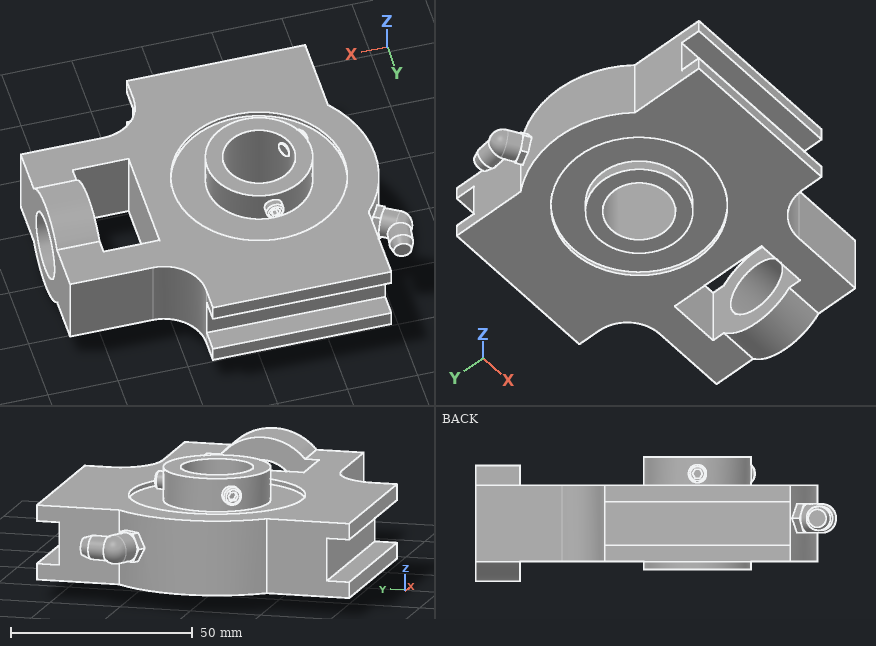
import cadquery as cq
import math


plate_half_x = 25.5
plate_width = 89.0
plate_thickness = 21.0
nose_radius = 33.0
tail_width = 2 * plate_half_x
tail_end_x = 61.0
corner_radius = 11.9
slot_depth = 6.3
slot_height = 12.0
window_start_x = 32.8
boss_start_x = 48.8
boss_diameter = 31.9
boss_hole_diameter = 19.0
window_width = boss_diameter

nipple_angle = 150
nipple_z = 1.4
elbow_diameter = 8.0
elbow_distance = 39.5
hex_across_flats = elbow_diameter
hex_end_distance = 35.1
hex_embed = 0.6
spout_angle = 82.5
spout_diameter = 6.6
spout_tip_diameter = 5
spout_taper_start = 6.8
spout_length = 9.4

insert_diameter = 48.6
insert_recess = 1.5
collar_diameter = 29.6
collar_top_z = 18.35
collar_bottom_z = -12.7
bore_diameter = 20.0

screw_diameter = 5
screw_angles = (90, 210)
screw_z = 13.7
screw_start_distance = 9.7
screw_end_distance = 17.2
screw_chamfer = 0.5
socket_across_flats = 2.4
socket_depth = 2


def radial_plane(angle, distance, z):
    """Plane whose normal points outward from the bearing axis, with its local Y along Z."""
    a = math.radians(angle)
    outward = (math.cos(a), math.sin(a), 0)
    sideways = (-math.sin(a), math.cos(a), 0)
    origin = (distance * outward[0], distance * outward[1], z)
    return cq.Plane(origin=origin, xDir=sideways, normal=outward)


def hexagon(plane, across_flats, length):
    """Hexagonal prism with two flats parallel to the XY plane."""
    across_corners = across_flats / math.cos(math.radians(30))
    return cq.Workplane(plane).polygon(6, across_corners).extrude(length)


def make_plate():
    """T-shaped plate with a rounded nose and rounded inner corners."""
    bar = cq.Workplane().box(2 * plate_half_x, plate_width, plate_thickness)
    tail = cq.Workplane().box(tail_end_x, tail_width, plate_thickness, centered=(False, True, True))
    plate = bar.union(tail)
    margin = 1
    inner_corners = cq.selectors.BoxSelector(
        (plate_half_x - margin, -tail_width / 2 - margin, -margin),
        (plate_half_x + margin, tail_width / 2 + margin, margin),
    )
    plate = plate.edges("|Z").edges(inner_corners).fillet(corner_radius)
    nose = cq.Workplane().circle(nose_radius).extrude(plate_thickness / 2, both=True)
    return plate.union(nose)


def make_guide_slots():
    """Grooves along the two sides of the plate."""
    return (
        cq.Workplane()
        .pushPoints([(0, -plate_width / 2), (0, plate_width / 2)])
        .box(2 * plate_half_x, 2 * slot_depth, slot_height)
    )


def make_window():
    """Rectangular opening between the bearing and the boss."""
    length = boss_start_x - window_start_x
    center_x = (boss_start_x + window_start_x) / 2
    return cq.Workplane().center(center_x, 0).box(length, window_width, plate_thickness)


def make_boss_cylinder(diameter):
    length = tail_end_x - boss_start_x
    return cq.Workplane("YZ", origin=(boss_start_x, 0, 0)).circle(diameter / 2).extrude(length)


def make_nipple():
    """Angled grease nipple: hexagon, elbow and tapered spout."""
    hex_start = nose_radius - hex_embed
    hex_plane = radial_plane(nipple_angle, hex_start, nipple_z)
    base = hexagon(hex_plane, hex_across_flats, hex_end_distance - hex_start)

    neck = cq.Workplane(hex_plane).circle(elbow_diameter / 2).extrude(elbow_distance - hex_start)
    elbow_center = radial_plane(nipple_angle, elbow_distance, nipple_z).origin
    elbow = cq.Workplane(origin=elbow_center).sphere(elbow_diameter / 2)

    a = math.radians(spout_angle)
    spout_plane = cq.Plane(origin=elbow_center, xDir=(0, 0, 1), normal=(math.cos(a), math.sin(a), 0))
    spout = (
        cq.Workplane(spout_plane)
        .circle(spout_diameter / 2)
        .extrude(spout_taper_start)
        .faces(cq.selectors.DirectionMinMaxSelector(spout_plane.zDir, True))
        .workplane()
        .circle(spout_diameter / 2)
        .workplane(offset=spout_length - spout_taper_start)
        .circle(spout_tip_diameter / 2)
        .loft(combine=True)
    )
    return base.union(neck).union(elbow).union(spout)


def make_housing():
    seat = cq.Workplane().circle(insert_diameter / 2).extrude(plate_thickness / 2, both=True)
    housing = make_plate().cut(make_guide_slots()).cut(make_window())
    housing = housing.union(make_boss_cylinder(boss_diameter))
    housing = housing.cut(make_boss_cylinder(boss_hole_diameter))
    return housing.union(make_nipple()).cut(seat)


def make_set_screw(angle):
    """Set screw through the collar wall, chamfered at both ends, with a hexagon socket."""
    plane = radial_plane(angle, screw_start_distance, screw_z)
    screw = (
        cq.Workplane(plane)
        .circle(screw_diameter / 2)
        .extrude(screw_end_distance - screw_start_distance)
        .edges("%CIRCLE")
        .chamfer(screw_chamfer)
    )
    socket_plane = radial_plane(angle, screw_end_distance - socket_depth, screw_z)
    return screw.cut(hexagon(socket_plane, socket_across_flats, socket_depth))


def make_insert():
    """Bearing insert: flat-faced ring, through collar and set screws."""
    ring = (
        cq.Workplane()
        .circle(insert_diameter / 2)
        .extrude(plate_thickness / 2 - insert_recess, both=True)
    )
    collar = (
        cq.Workplane(origin=(0, 0, collar_bottom_z))
        .circle(collar_diameter / 2)
        .extrude(collar_top_z - collar_bottom_z)
    )
    bore = (
        cq.Workplane(origin=(0, 0, collar_bottom_z))
        .circle(bore_diameter / 2)
        .extrude(collar_top_z - collar_bottom_z)
    )
    insert = ring.union(collar).cut(bore)
    for angle in screw_angles:
        insert = insert.union(make_set_screw(angle))
    return insert


housing = make_housing()
insert = make_insert()

result = cq.Compound.makeCompound([housing.val(), insert.val()])